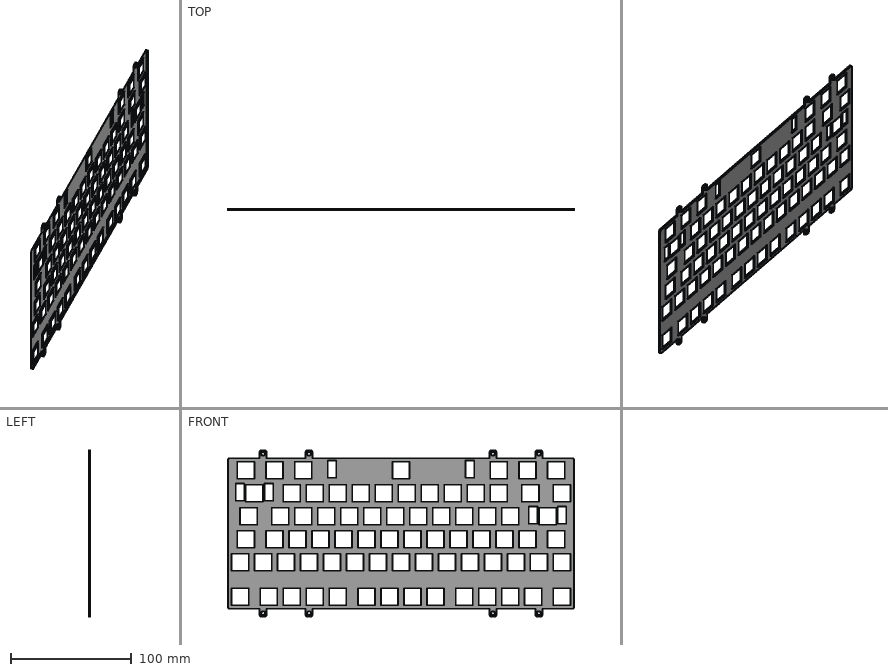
import cadquery as cq


unit = 19.05
layout_columns = 15
layout_rows = 6.5
margin = 0.525
thickness = 1.5
body_width = layout_columns * unit + 2 * margin
body_height = layout_rows * unit + 2 * margin
body_corner_radius = 1.5

overall_height = 137.93
tab_width = 6.0
tab_corner_radius = 2.0
tab_hole_diameter = 3.0
tab_hole_edge_distance = 3.0
tab_columns = [-6, -4, 4, 6]

switch_size = 14.0
stabilizer_width = 7.0
stabilizer_height = 14.0
stabilizer_rise = 0.9
wide_key_stabilizer_offset = 11.94
space_stabilizer_offset = 3 * unit


def key_run(first, count):
    """Centres, in units, of a run of keys spaced one unit apart."""
    return [first + i for i in range(count)]


space_row = 2.75
second_row = 1.75
third_row = 0.75
fourth_row = -0.25
fifth_row = -1.25
sixth_row = -2.75
left_wide_key = -6.375
right_wide_key = 6.375
key_rows = [
    (space_row, [-6.75, -5.5, -4.25, 0, 4.25, 5.5, 6.75]),
    (second_row, [left_wide_key] + key_run(-4.75, 10) + [5.625, 7]),
    (third_row, [-6.625] + key_run(-5.25, 11) + [right_wide_key]),
    (fourth_row, [-6.75] + key_run(-5.5, 12) + [6.75]),
    (fifth_row, key_run(-7, 15)),
    (sixth_row, [-7] + key_run(-5.75, 4) + key_run(-1.5, 4) + key_run(2.75, 4) + [7]),
]

stabilized_keys = [
    (0, space_row, space_stabilizer_offset),
    (left_wide_key, second_row, wide_key_stabilizer_offset),
    (right_wide_key, third_row, wide_key_stabilizer_offset),
]


def block(width, height):
    """Plate-thick block centred on the origin."""
    return cq.Workplane("XY").box(width, thickness, height)


def openings(points, width, height):
    """Rectangular cutters through the plate, centred on (x, z) points."""
    return (
        cq.Workplane("XZ", origin=(0, thickness, 0))
        .pushPoints(points)
        .rect(width, height)
        .extrude(2 * thickness)
    )


def make_body():
    return block(body_width, body_height).edges("|Y").fillet(body_corner_radius)


def make_tab_strips():
    """Full-height strips whose rounded ends stick out as the upper and lower tabs."""
    strip = block(tab_width, overall_height).edges("|Y").fillet(tab_corner_radius)
    strips = cq.Workplane("XY")
    for column in tab_columns:
        strips = strips.add(strip.translate((column * unit, 0, 0)))
    return strips.combine()


def make_tab_holes():
    hole_height = overall_height / 2 - tab_hole_edge_distance
    points = [(column * unit, side * hole_height) for column in tab_columns for side in (-1, 1)]
    return (
        cq.Workplane("XZ", origin=(0, thickness, 0))
        .pushPoints(points)
        .circle(tab_hole_diameter / 2)
        .extrude(2 * thickness)
    )


def make_switch_openings():
    points = [(key * unit, row * unit) for row, keys in key_rows for key in keys]
    return openings(points, switch_size, switch_size)


def make_stabilizer_slots():
    points = [
        (key * unit + side * offset, row * unit + stabilizer_rise)
        for key, row, offset in stabilized_keys
        for side in (-1, 1)
    ]
    return openings(points, stabilizer_width, stabilizer_height)


result = (
    make_body()
    .union(make_tab_strips())
    .cut(make_tab_holes())
    .cut(make_switch_openings())
    .cut(make_stabilizer_slots())
)